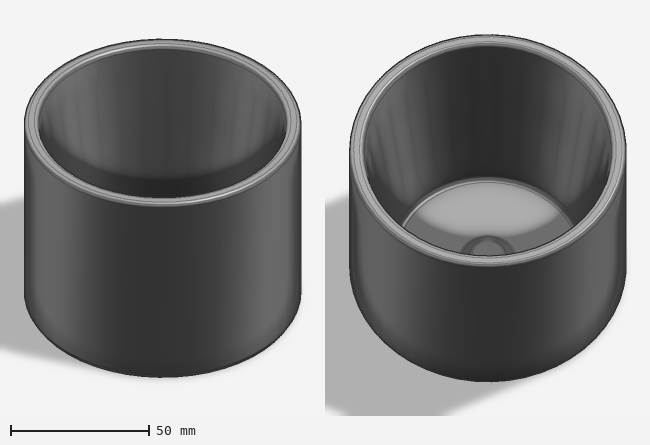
import cadquery as cq
import math

outer_diameter = 100.0
height = 79.0
outer_radius = outer_diameter / 2

floor_thickness = 5.0
mouth_radius = 44.9
floor_radius = 35.0

outer_rim_fillet = 1.5
inner_rim_fillet = 1.7
floor_fillet = 2.0
foot_chamfer_width = 1.0
foot_chamfer_angle = 60.0
foot_chamfer_height = foot_chamfer_width * math.tan(math.radians(foot_chamfer_angle))

boss_base_radius = 10.0
boss_top_radius = 6.0
boss_height = 4.0
boss_base_fillet = 1.0
boss_top_fillet = 1.0


def cup_body():
    """Revolve the cup, with its foot chamfer, cavity and central boss."""
    boss_top = floor_thickness + boss_height
    profile = (
        cq.Workplane("XZ")
        .moveTo(0, 0)
        .lineTo(outer_radius - foot_chamfer_width, 0)
        .lineTo(outer_radius, foot_chamfer_height)
        .lineTo(outer_radius, height)
        .lineTo(mouth_radius, height)
        .lineTo(floor_radius, floor_thickness)
        .lineTo(boss_base_radius, floor_thickness)
        .lineTo(boss_top_radius, boss_top)
        .lineTo(0, boss_top)
        .close()
    )
    return profile.revolve(360, (0, 0, 0), (0, 1, 0))


def round_edge(body, radius, z, fillet):
    """Fillet the circular edge of the given radius that lies at height z."""
    margin = 0.1
    reach = radius + margin
    inner_reach = radius - margin
    around = cq.selectors.BoxSelector(
        (-reach, -reach, z - margin), (reach, reach, z + margin), boundingbox=True
    )
    within = cq.selectors.BoxSelector(
        (-inner_reach, -inner_reach, z - margin),
        (inner_reach, inner_reach, z + margin),
        boundingbox=True,
    )
    return body.edges(around - within).fillet(fillet)


result = cup_body()
result = round_edge(result, outer_radius, height, outer_rim_fillet)
result = round_edge(result, mouth_radius, height, inner_rim_fillet)
result = round_edge(result, floor_radius, floor_thickness, floor_fillet)
result = round_edge(result, boss_base_radius, floor_thickness, boss_base_fillet)
result = round_edge(result, boss_top_radius, floor_thickness + boss_height, boss_top_fillet)